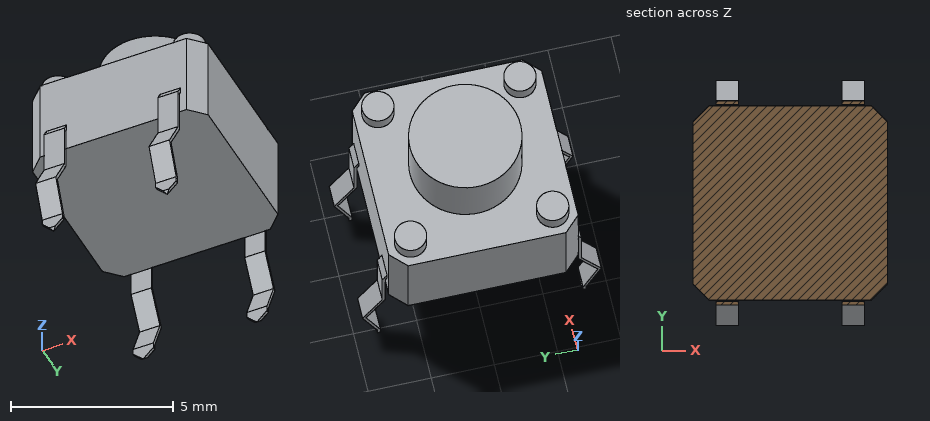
import cadquery as cq
import math


body_width = 6.01
body_height = 3.0
corner_chamfer = 0.5

button_diameter = 3.5
button_height = 2.0
post_diameter = 1.0
post_height = 0.5
post_offset = 2.25

total_height = 8.52
leg_span = 7.57
leg_width = 0.7
leg_thickness = 0.1
leg_offset = 1.94
shank_gap = 0.05
foot_reach = 3.31
shoulder_height = 0.73
shank_bottom_drop = 0.76
knee_drop = 1.85
ankle_drop = 3.0
shoulder_angle = 30.0
root_depth = 0.15

body_half = body_width / 2
shank_reach = body_half + shank_gap + leg_thickness
tip_z = body_height + button_height - total_height


def miter_offset(before, corner, after, distance):
    """Point at a corner of a path, shifted to the right of travel so both offset edges stay parallel."""
    angle_in = math.atan2(corner[1] - before[1], corner[0] - before[0])
    angle_out = math.atan2(after[1] - corner[1], after[0] - corner[0])
    miter_angle = (angle_in + angle_out) / 2
    miter_length = distance / math.cos((angle_out - angle_in) / 2)
    return (
        corner[0] + miter_length * math.sin(miter_angle),
        corner[1] - miter_length * math.cos(miter_angle),
    )


def make_body():
    body = cq.Workplane("XY").rect(body_width, body_width).extrude(body_height)
    return body.edges("|Z").chamfer(corner_chamfer)


def make_button():
    return cq.Workplane("XY", (0, 0, body_height)).circle(button_diameter / 2).extrude(button_height)


def make_posts():
    spacing = 2 * post_offset
    square = cq.Workplane("XY", (0, 0, body_height)).rect(spacing, spacing, forConstruction=True)
    return square.vertices().circle(post_diameter / 2).extrude(post_height)


def make_leg():
    """One leg on the +Y side, centred on X = 0."""
    half_width = leg_width / 2

    root_angle = math.radians(shoulder_angle)
    root_reach = body_half - root_depth
    root_rise = (shank_reach - root_reach) / math.tan(root_angle)
    outer = [
        (root_reach, shoulder_height + root_rise),
        (shank_reach, shoulder_height),
        (shank_reach, -shank_bottom_drop),
        (leg_span / 2, -knee_drop),
        (foot_reach, -ankle_drop),
        (foot_reach, tip_z + leg_thickness),
    ]

    inner_root = (
        root_reach - leg_thickness * math.cos(root_angle),
        shoulder_height + root_rise - leg_thickness * math.sin(root_angle),
    )
    inner_corners = [miter_offset(*bend, leg_thickness) for bend in zip(outer, outer[1:], outer[2:])]

    inner_tip = (foot_reach - leg_thickness, tip_z)
    profile = outer + [inner_tip] + inner_corners[::-1] + [inner_root]
    strip = cq.Workplane("YZ").polyline(profile).close().extrude(half_width, both=True)

    outline = [
        (0, tip_z),
        (half_width, tip_z + half_width),
        (half_width, body_height),
        (-half_width, body_height),
        (-half_width, tip_z + half_width),
    ]
    pointed_blank = cq.Workplane("XZ").polyline(outline).close().extrude(-leg_span)
    return strip.intersect(pointed_blank)


result = make_body().union(make_button()).union(make_posts())
leg = make_leg()
for x in (-leg_offset, leg_offset):
    rear_leg = leg.translate((x, 0, 0))
    result = result.union(rear_leg).union(rear_leg.mirror("XZ"))